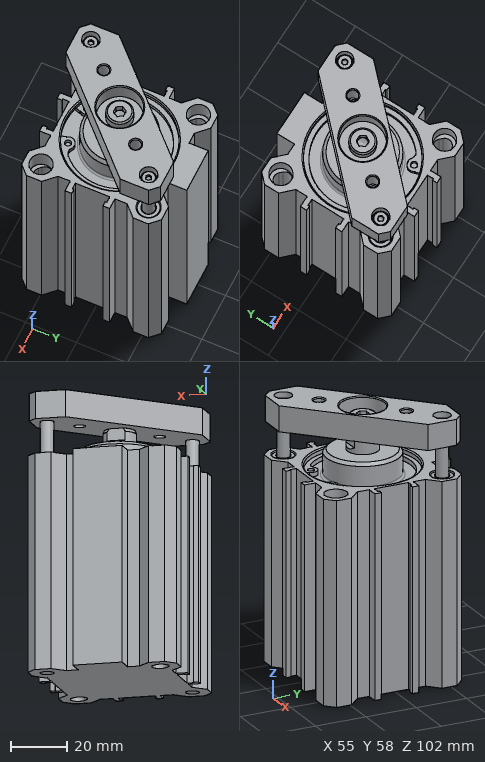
import cadquery as cq
import math

TOTAL_HEIGHT = 102.0
PLATE_THICKNESS = 10.0
PLATE_BOTTOM = TOTAL_HEIGHT - PLATE_THICKNESS
HOUSING_HEIGHT = 79.4
BOSS_TOP = 85.4

WIDTH = 55.0
DEPTH = 58.0
HALF_SIZE = WIDTH / 2
WALL_FACE = 23.1
LOBE_CHAMFER = 3.6
LOBE_START = 18.0
LOBE_SLOPE_FOOT = LOBE_START - (HALF_SIZE - WALL_FACE)
RAIL_OUTER = 8.8
RAIL_INNER = 6.7
RAIL_LIP = 6.1
LIP_HEIGHT = 1.9
BLOCK_HALF_WIDTH = 9.1
BLOCK_FACE = DEPTH - HALF_SIZE

CORNER_OFFSET = 21.1
MOUNT_BORE_DIAMETER = 8.6
SEAT_DIAMETER = 9.0
MOUNT_BORE_DEPTH = 7.1
MOUNT_SLOT_WIDTH = 5.5
MOUNT_SLOT_TRAVEL = 1.4
SEAT_RECESS = 0.4
ROD_SEAT_CHAMFER = 0.3

RECESS_DIAMETER = 42.2
RECESS_RIM_DIAMETER = 43.2
RECESS_DEPTH = 3.8
RECESS_FLOOR = HOUSING_HEIGHT - RECESS_DEPTH
RING_GROOVE_DIAMETER = 44.7
RING_INNER_DIAMETER = 38.4
RING_THICKNESS = 1.7
LUG_RADIUS = 2.5
LUG_HOLE_DIAMETER = 2.4
LUG_X = 8.0
LUG_Y = -16.6
LUG_FILLET = 2.5
BOSS_DIAMETER = 28.6
BOSS_CHAMFER = 1.2
BOSS_FILLET = 0.8

PISTON_DIAMETER = 12.0
PISTON_BOTTOM = 56.1
FLAT_HALF_WIDTH = 5.0
FLAT_BOTTOM = 87.6
PISTON_TAPER_HEIGHT = 1.2
PISTON_TAPER_INSET = 0.4

GUIDE_DIAMETER = 4.9

PLATE_HALF_SIZE = 27.0
PLATE_WIDTH = 20.3
PLATE_CHAMFER = 3.2
POCKET_DIAMETER = 17.0
POCKET_DEPTH = 7.0
POCKET_CHAMFER = 0.4
TAPPED_OFFSET = 11.6
TAPPED_DIAMETER = 4.2
TAPPED_CHAMFER = 0.4
SCREW_BORE_DIAMETER = 6.5
SCREW_BORE_DEPTH = 4.1

BOLT_HEAD_DIAMETER = 10.0
BOLT_HEAD_HEIGHT = 4.0
BOLT_CHAMFER = 0.6
BOLT_SHANK_DIAMETER = 6.0
BOLT_SHANK_LENGTH = 12.2
BOLT_HEX = 4.0
BOLT_HEX_DEPTH = 2.5
SCREW_HEAD_DIAMETER = 5.5
SCREW_HEAD_HEIGHT = 2.0
SCREW_CHAMFER = 0.3
SCREW_SHANK_DIAMETER = 3.0
SCREW_SHANK_LENGTH = 12.2
SCREW_HEX = 2.0
SCREW_HEX_DEPTH = 1.0
SCREW_TURN = -45.0
SOCKET_CONE_ANGLE = 120.0

BOLT_SEAT = TOTAL_HEIGHT - POCKET_DEPTH
SCREW_SEAT = TOTAL_HEIGHT - SCREW_BORE_DEPTH
GUIDE_POINTS = [(-CORNER_OFFSET, -CORNER_OFFSET), (CORNER_OFFSET, CORNER_OFFSET)]
MOUNT_POINTS = [(-CORNER_OFFSET, CORNER_OFFSET), (CORNER_OFFSET, -CORNER_OFFSET)]


def cylinder(diameter, bottom, top, points=((0, 0),)):
    """Vertical cylinders between two heights, one at each point."""
    plane = cq.Workplane("XY").workplane(offset=bottom)
    return plane.pushPoints(list(points)).circle(diameter / 2).extrude(top - bottom)


def cone(bottom_diameter, top_diameter, bottom, top, points=((0, 0),)):
    """Vertical truncated cones between two heights, one at each point."""
    profile = [(0, bottom), (bottom_diameter / 2, bottom), (top_diameter / 2, top), (0, top)]
    single = cq.Workplane("XZ").polyline(profile).close().revolve(360, (0, 0), (0, 1))
    cones = cq.Workplane("XY")
    for x, y in points:
        cones = cones.add(single.translate((x, y, 0)))
    return cones.combine()


def housing_side():
    """Outline of the -Y side, from the left lobe's bottom edge to the right lobe's."""
    right_half = [
        (RAIL_INNER, -WALL_FACE),
        (RAIL_INNER, -HALF_SIZE + LIP_HEIGHT),
        (RAIL_LIP, -HALF_SIZE + LIP_HEIGHT),
        (RAIL_LIP, -HALF_SIZE),
        (RAIL_OUTER, -HALF_SIZE),
        (RAIL_OUTER, -WALL_FACE),
        (LOBE_SLOPE_FOOT, -WALL_FACE),
        (LOBE_START, -HALF_SIZE),
        (HALF_SIZE - LOBE_CHAMFER, -HALF_SIZE),
    ]
    left_half = [(-x, y) for x, y in reversed(right_half)]
    return left_half + right_half


def housing_outline():
    """The same railed side on -Y, +X and -X, and a plain side on +Y."""
    side = housing_side()
    right_side = [(-y, x) for x, y in side]
    left_side = [(y, -x) for x, y in side]
    back_side = [(-x, -y) for x, y in side[:3] + side[-3:]]
    return side + right_side + back_side + left_side


def mounting_slot(x, y):
    """Slot through the housing, reaching from a mounting bore's axis towards the centre."""
    inward = math.degrees(math.atan2(-y, -x))
    slot = cq.Workplane("XY").center(MOUNT_SLOT_TRAVEL / 2, 0)
    slot = slot.slot2D(MOUNT_SLOT_TRAVEL + MOUNT_SLOT_WIDTH, MOUNT_SLOT_WIDTH).extrude(HOUSING_HEIGHT)
    return slot.rotate((0, 0, 0), (0, 0, 1), inward).translate((x, y, 0))


def make_boss():
    """Round boss with a chamfered top and a fillet where it meets the recess floor."""
    radius = BOSS_DIAMETER / 2
    fillet_inset = BOSS_FILLET * (1 - math.sqrt(0.5))
    profile = cq.Workplane("XZ").moveTo(0, RECESS_FLOOR).lineTo(radius + BOSS_FILLET, RECESS_FLOOR)
    profile = profile.threePointArc(
        (radius + fillet_inset, RECESS_FLOOR + fillet_inset),
        (radius, RECESS_FLOOR + BOSS_FILLET),
    )
    profile = profile.lineTo(radius, BOSS_TOP - BOSS_CHAMFER).lineTo(radius - BOSS_CHAMFER, BOSS_TOP)
    return profile.lineTo(0, BOSS_TOP).close().revolve(360, (0, 0), (0, 1))


def make_housing():
    body = cq.Workplane("XY").polyline(housing_outline()).close().extrude(HOUSING_HEIGHT)
    block_depth = BLOCK_FACE - WALL_FACE
    block = cq.Workplane("XY").center(0, WALL_FACE + block_depth / 2)
    body = body.union(block.rect(2 * BLOCK_HALF_WIDTH, block_depth).extrude(HOUSING_HEIGHT))

    rim_bevel = (RECESS_RIM_DIAMETER - RECESS_DIAMETER) / 2
    body = body.cut(cylinder(RECESS_DIAMETER, RECESS_FLOOR, HOUSING_HEIGHT))
    body = body.cut(cone(RECESS_DIAMETER, RECESS_RIM_DIAMETER, HOUSING_HEIGHT - rim_bevel, HOUSING_HEIGHT))
    body = body.cut(cylinder(RING_GROOVE_DIAMETER, RECESS_FLOOR, RECESS_FLOOR + RING_THICKNESS))

    body = body.union(make_boss())
    body = body.cut(cylinder(PISTON_DIAMETER, PISTON_BOTTOM, BOSS_TOP))

    seat = HOUSING_HEIGHT - SEAT_RECESS
    seat_floor_diameter = SEAT_DIAMETER - 2 * SEAT_RECESS
    rod_rim = GUIDE_DIAMETER + 2 * ROD_SEAT_CHAMFER
    body = body.cut(cylinder(GUIDE_DIAMETER, 0, HOUSING_HEIGHT, GUIDE_POINTS))
    body = body.cut(cone(seat_floor_diameter, SEAT_DIAMETER, seat, HOUSING_HEIGHT, GUIDE_POINTS))
    body = body.cut(cone(GUIDE_DIAMETER, rod_rim, seat - ROD_SEAT_CHAMFER, seat, GUIDE_POINTS))

    bore_bottom = HOUSING_HEIGHT - MOUNT_BORE_DEPTH
    body = body.cut(cylinder(MOUNT_BORE_DIAMETER, bore_bottom, HOUSING_HEIGHT, MOUNT_POINTS))
    for x, y in MOUNT_POINTS:
        body = body.cut(mounting_slot(x, y))
    return body


def make_retaining_ring():
    """Open ring in the housing groove, with a drilled lug at each end of its gap."""
    top = RECESS_FLOOR + RING_THICKNESS
    ring = cylinder(RING_GROOVE_DIAMETER, RECESS_FLOOR, top)
    ring = ring.cut(cylinder(RING_INNER_DIAMETER, RECESS_FLOOR, top))

    lug_angle = math.atan2(LUG_X, -LUG_Y)
    gap_half_angle = lug_angle - math.asin(LUG_RADIUS / math.hypot(LUG_X, LUG_Y))
    reach = RING_GROOVE_DIAMETER
    gap_half_width = reach * math.tan(gap_half_angle)
    gap = cq.Workplane("XY").workplane(offset=RECESS_FLOOR)
    gap = gap.polyline([(0, 0), (-gap_half_width, -reach), (gap_half_width, -reach)]).close()
    ring = ring.cut(gap.extrude(RING_THICKNESS))

    lug_points = [(-LUG_X, LUG_Y), (LUG_X, LUG_Y)]
    lugs = cylinder(2 * LUG_RADIUS, RECESS_FLOOR, top, lug_points)
    ring = ring.union(lugs.intersect(cylinder(RECESS_DIAMETER, RECESS_FLOOR, top)))
    corner_x = LUG_X + LUG_RADIUS
    corner_y = -math.sqrt((RING_INNER_DIAMETER / 2) ** 2 - corner_x ** 2)
    for x in (-corner_x, corner_x):
        corner = cq.selectors.NearestToPointSelector((x, corner_y, RECESS_FLOOR + RING_THICKNESS / 2))
        ring = ring.edges("|Z").edges(corner).fillet(LUG_FILLET)
    return ring.cut(cylinder(LUG_HOLE_DIAMETER, RECESS_FLOOR, top, lug_points))


def make_piston_rod():
    rod = cylinder(PISTON_DIAMETER, PISTON_BOTTOM, PLATE_BOTTOM - PISTON_TAPER_HEIGHT)
    taper_top = PISTON_DIAMETER - 2 * PISTON_TAPER_INSET
    rod = rod.union(cone(PISTON_DIAMETER, taper_top, PLATE_BOTTOM - PISTON_TAPER_HEIGHT, PLATE_BOTTOM))

    radius = PISTON_DIAMETER / 2
    slope = radius - FLAT_HALF_WIDTH
    profile = [
        (FLAT_HALF_WIDTH, PLATE_BOTTOM),
        (FLAT_HALF_WIDTH, FLAT_BOTTOM),
        (radius, FLAT_BOTTOM - slope),
        (radius, PLATE_BOTTOM),
    ]
    for side in (-1, 1):
        points = [(side * y, z) for y, z in profile]
        rod = rod.cut(cq.Workplane("YZ").polyline(points).close().extrude(radius, both=True))
    return rod.cut(cylinder(BOLT_SHANK_DIAMETER, BOLT_SEAT - BOLT_SHANK_LENGTH, PLATE_BOTTOM))


def make_guide_rod(x, y):
    """Rod from the housing's bottom to the plate, tapped for its screw."""
    rod = cylinder(GUIDE_DIAMETER, 0, PLATE_BOTTOM)
    rod = rod.cut(cylinder(SCREW_SHANK_DIAMETER, SCREW_SEAT - SCREW_SHANK_LENGTH, PLATE_BOTTOM))
    return rod.translate((x, y, 0))


def make_plate():
    """Diagonal bar joining the piston rod to the two guide rods."""
    edge = PLATE_HALF_SIZE
    edge_end = edge - PLATE_WIDTH / math.sqrt(2)
    half = [
        (-edge_end, -edge),
        (edge, edge_end),
        (edge, edge - PLATE_CHAMFER),
        (edge - PLATE_CHAMFER, edge),
    ]
    outline = half + [(-x, -y) for x, y in half]
    plane = cq.Workplane("XY").workplane(offset=PLATE_BOTTOM)
    plate = plane.polyline(outline).close().extrude(PLATE_THICKNESS)

    pocket_rim = POCKET_DIAMETER + 2 * POCKET_CHAMFER
    plate = plate.cut(cylinder(POCKET_DIAMETER, BOLT_SEAT, TOTAL_HEIGHT))
    plate = plate.cut(cone(POCKET_DIAMETER, pocket_rim, TOTAL_HEIGHT - POCKET_CHAMFER, TOTAL_HEIGHT))
    plate = plate.cut(cylinder(BOLT_SHANK_DIAMETER, PLATE_BOTTOM, TOTAL_HEIGHT))

    tapped_points = [(-TAPPED_OFFSET, -TAPPED_OFFSET), (TAPPED_OFFSET, TAPPED_OFFSET)]
    tapped_rim = TAPPED_DIAMETER + 2 * TAPPED_CHAMFER
    plate = plate.cut(cylinder(TAPPED_DIAMETER, PLATE_BOTTOM, TOTAL_HEIGHT, tapped_points))
    bevel_bottom = TOTAL_HEIGHT - TAPPED_CHAMFER
    plate = plate.cut(cone(TAPPED_DIAMETER, tapped_rim, bevel_bottom, TOTAL_HEIGHT, tapped_points))

    plate = plate.cut(cylinder(SCREW_BORE_DIAMETER, SCREW_SEAT, TOTAL_HEIGHT, GUIDE_POINTS))
    return plate.cut(cylinder(SCREW_SHANK_DIAMETER, PLATE_BOTTOM, TOTAL_HEIGHT, GUIDE_POINTS))


def socket_screw(
    seat, head_diameter, head_height,
    shank_diameter, shank_length, hex_size, hex_depth, chamfer,
):
    """Cylindrical-head screw on the Z axis with a hex socket that ends in a drill point."""
    head_top = seat + head_height
    screw = cylinder(head_diameter, seat, head_top).faces(">Z").chamfer(chamfer)
    screw = screw.union(cylinder(shank_diameter, seat - shank_length, seat))
    hex_corners = hex_size / math.cos(math.pi / 6)
    socket_bottom = head_top - hex_depth
    socket = cq.Workplane("XY").workplane(offset=socket_bottom).polygon(6, hex_corners).extrude(hex_depth)
    point_depth = hex_size / 2 / math.tan(math.radians(SOCKET_CONE_ANGLE / 2))
    point = cq.Solid.makeCone(
        0, hex_size / 2, point_depth, cq.Vector(0, 0, socket_bottom - point_depth), cq.Vector(0, 0, 1)
    )
    return screw.cut(socket).cut(cq.Workplane(point))


def make_centre_bolt():
    return socket_screw(
        BOLT_SEAT, BOLT_HEAD_DIAMETER, BOLT_HEAD_HEIGHT,
        BOLT_SHANK_DIAMETER, BOLT_SHANK_LENGTH, BOLT_HEX, BOLT_HEX_DEPTH, BOLT_CHAMFER,
    )


def make_guide_screw(x, y):
    """Screw turned so that its hex socket lines up with the diagonal plate."""
    screw = socket_screw(
        SCREW_SEAT, SCREW_HEAD_DIAMETER, SCREW_HEAD_HEIGHT,
        SCREW_SHANK_DIAMETER, SCREW_SHANK_LENGTH, SCREW_HEX, SCREW_HEX_DEPTH, SCREW_CHAMFER,
    )
    return screw.rotate((0, 0, 0), (0, 0, 1), SCREW_TURN).translate((x, y, 0))


housing = make_housing()
retaining_ring = make_retaining_ring()
piston_rod = make_piston_rod()
plate = make_plate()
centre_bolt = make_centre_bolt()
guide_rods = [make_guide_rod(x, y) for x, y in GUIDE_POINTS]
guide_screws = [make_guide_screw(x, y) for x, y in GUIDE_POINTS]

result = cq.Compound.makeCompound([
    housing.val(),
    retaining_ring.val(),
    piston_rod.val(),
    plate.val(),
    centre_bolt.val(),
    *[rod.val() for rod in guide_rods],
    *[screw.val() for screw in guide_screws],
])